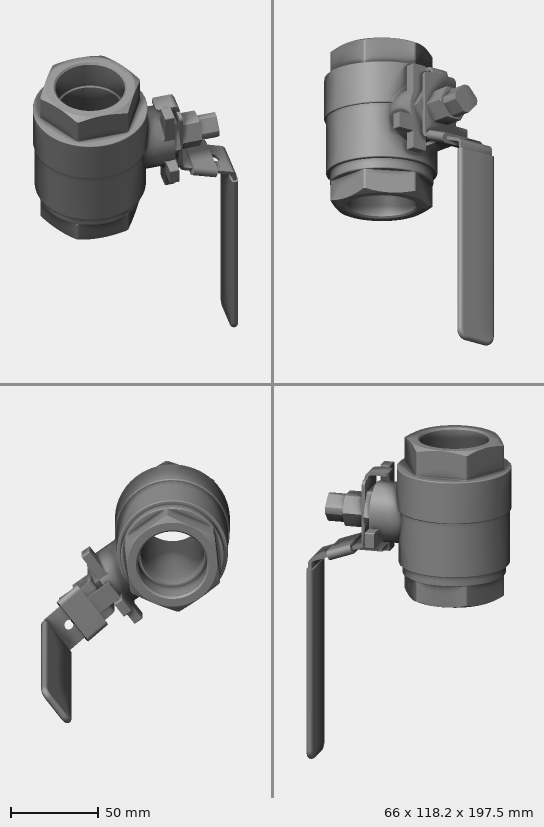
import cadquery as cq
import math


PIPE_TOP = 47.5
PIPE_BOTTOM = -46.5
PIPE_MIDDLE = (PIPE_TOP + PIPE_BOTTOM) / 2
HEX_FLATS = 52.0
HEX_CORNER_RADIUS = 2.0
HEX_CORNER_REACH = HEX_FLATS / math.sqrt(3) - HEX_CORNER_RADIUS * (2 / math.sqrt(3) - 1)
HEX_FACE_DIAMETER = 51.4
HEX_CHAMFER_DROP = 2.0
COLLAR_DIAMETER = 66.0
COLLAR_TOP = 30.8
COLLAR_BOTTOM = 5.8
COLLAR_EDGE_RADIUS = 0.6
BARREL_DIAMETER = 64.0
BARREL_BOTTOM = -26.8
RING_DIAMETER = 2 * HEX_CORNER_REACH
RING_BOTTOM = -32.9
HEX_FOOT_FILLET = 0.5

BORE_DIAMETER = 37.0
SOCKET_DIAMETER = 40.0
SOCKET_DEPTH = 17.0
SOCKET_MOUTH_DIAMETER = 42.0

NECK_DIAMETER = 35.0
NECK_END = 46.0
NECK_FILLET = 2.0
LUG_REACH = 25.6
LUG_NEAR = 5.8
LUG_FAR = 15.3
LUG_THICKNESS = 5.6
LUG_CORNER_RADIUS = 0.8
LUG_ROOT_FILLET = 1.7
GLAND_FLATS = 26.6
STEM_NUT_FLATS = 18.2
STEM_NUT_CHAMFER = 0.5
STEM_NUT_END = 64.0
STEM_END = 75.0
STEM_DIAMETER = 16.4
STEM_FLATS = 14.0

PLATE = 2.0
LEVER_WIDTH = 23.4
LEVER_SEAT = 50.0
LEVER_MID_Y = LEVER_SEAT + PLATE / 2
BEND_RADIUS = 3.0
STOP_TAB_WIDTH = 11.2
STOP_TAB_TIP = 38.0
STOP_TAB_Z = 23.7
STOP_TAB_CORNER_RADIUS = 2.0
SHOULDER_Z = 20.4
SHOULDER_RADIUS = 2.6
SLOPE_ANGLE = 20.0
SLOPE_START_Z = -18.0
HANG_HOLE_DIAMETER = 5.92
HANG_HOLE_Y = 74.0

GRIP_FACE = 85.19
GRIP_THICKNESS = 4.2
GRIP_MID_Y = GRIP_FACE - GRIP_THICKNESS / 2
GRIP_WIDTH = 26.2
GRIP_TOP = -35.0
GRIP_BOTTOM = -150.0
GRIP_CORNER_RADIUS = 6.0
GRIP_WALL = (GRIP_WIDTH - LEVER_WIDTH) / 2

LOCK_WIDTH = 30.0
LOCK_THICKNESS = 5.92
LOCK_LENGTH = 15.0
LOCK_MID_Y = 64.5
LOCK_TAB_Z = -21.6
LOCK_TAB_WIDTH = 11.4
LOCK_TAB_TIP = 41.3
LOCK_TAB_ROOT = 58.0
LOCK_TAB_CORNER_RADIUS = 1.0

PICK_MARGIN = 1.0


def slope_z(y):
    """Height of the lever's sloping middle plane at the given Y."""
    return SLOPE_START_Z - (y - LEVER_MID_Y) * math.tan(math.radians(SLOPE_ANGLE))


def along_stem(start):
    """Sketch plane square to the stem at Y = start, with extrusions going outward."""
    return cq.Workplane(cq.Plane(origin=(0, start, 0), xDir=(1, 0, 0), normal=(0, 1, 0)))


def stem_hex(flats, start, end):
    """Hexagonal prism on the stem axis with two flats square to Z."""
    return along_stem(start).polygon(6, flats * 2 / math.sqrt(3)).extrude(end - start)


def stem_bar(start, end):
    """Round bar with four flats that face diagonally between X and Z."""
    length = end - start
    square = along_stem(start).transformed(rotate=(0, 0, 45)).rect(STEM_FLATS, STEM_FLATS).extrude(length)
    return along_stem(start).circle(STEM_DIAMETER / 2).extrude(length).intersect(square)


def pipe_hex(start, end, outer_face):
    """Hexagonal pipe end with rounded corners and a cone chamfer at its outer face."""
    hexagon = (
        cq.Workplane("XY", origin=(0, 0, start))
        .polygon(6, HEX_FLATS * 2 / math.sqrt(3))
        .extrude(end - start)
        .rotate((0, 0, 0), (0, 0, 1), 30)
        .edges("|Z")
        .fillet(HEX_CORNER_RADIUS)
    )
    inner_face = start if outer_face == end else end
    chamfer_end = outer_face - math.copysign(HEX_CHAMFER_DROP, outer_face)
    envelope = (
        cq.Workplane("XZ")
        .moveTo(0, inner_face)
        .lineTo(HEX_CORNER_REACH, inner_face)
        .lineTo(HEX_CORNER_REACH, chamfer_end)
        .lineTo(HEX_FACE_DIAMETER / 2, outer_face)
        .lineTo(0, outer_face)
        .close()
        .revolve()
    )
    return hexagon.intersect(envelope)


def pipe_disc(diameter, bottom, top):
    """Round disc on the pipe axis."""
    return cq.Workplane("XY", origin=(0, 0, bottom)).circle(diameter / 2).extrude(top - bottom)


def make_pipe():
    """Collar, barrel, ring and the two hexagonal ends, stacked along the pipe axis."""
    collar = pipe_disc(COLLAR_DIAMETER, COLLAR_BOTTOM, COLLAR_TOP).edges().fillet(COLLAR_EDGE_RADIUS)
    barrel = pipe_disc(BARREL_DIAMETER, BARREL_BOTTOM, COLLAR_TOP - COLLAR_EDGE_RADIUS)
    barrel = barrel.faces("<Z").edges().fillet(COLLAR_EDGE_RADIUS)
    ring = pipe_disc(RING_DIAMETER, RING_BOTTOM, COLLAR_BOTTOM)
    ring = ring.faces("<Z").edges().fillet(COLLAR_EDGE_RADIUS)
    pipe = collar.union(barrel).union(ring)
    pipe = pipe.union(pipe_hex(COLLAR_TOP, PIPE_TOP, PIPE_TOP))
    foot = cq.selectors.BoxSelector(
        (-HEX_FLATS, -HEX_FLATS, COLLAR_TOP - HEX_FOOT_FILLET),
        (HEX_FLATS, HEX_FLATS, COLLAR_TOP + HEX_FOOT_FILLET),
    )
    pipe = pipe.edges(foot).edges("not %CIRCLE").fillet(HEX_FOOT_FILLET)
    return pipe.union(pipe_hex(PIPE_BOTTOM, RING_BOTTOM, PIPE_BOTTOM))


def make_neck():
    """Stem neck with the crossing lug bars at its outer end, rounded underneath the bars."""
    neck = along_stem(0).circle(NECK_DIAMETER / 2).extrude(NECK_END)
    lug_width = LUG_FAR - LUG_NEAR
    lug_middle = (LUG_FAR + LUG_NEAR) / 2
    bar = cq.Workplane("XY").box(lug_width, LUG_THICKNESS, 2 * LUG_REACH)
    bar = bar.edges("|Y").fillet(LUG_CORNER_RADIUS)
    bar_y = NECK_END - LUG_THICKNESS / 2
    upright_bar = bar.translate((lug_middle, bar_y, 0))
    cross_bar = bar.rotate((0, 0, 0), (0, 1, 0), 90).translate((0, bar_y, -lug_middle))
    neck = neck.union(upright_bar).union(cross_bar)
    underside = NECK_END - LUG_THICKNESS
    neck_radius = NECK_DIAMETER / 2
    lug_roots = cq.selectors.BoxSelector(
        (-neck_radius, underside - PICK_MARGIN, -neck_radius),
        (neck_radius, underside + PICK_MARGIN, neck_radius),
    )
    return neck.edges(lug_roots).edges("%CIRCLE").fillet(LUG_ROOT_FILLET)


def make_neck_root():
    """Upper part of the collar and neck, with the corner between them rounded."""
    neck = along_stem(0).circle(NECK_DIAMETER / 2).extrude(NECK_END)
    root = pipe_disc(COLLAR_DIAMETER, -COLLAR_TOP, COLLAR_TOP).union(neck)
    corner = cq.selectors.BoxSelector(
        (-NECK_DIAMETER, PICK_MARGIN, -NECK_DIAMETER / 2 - PICK_MARGIN),
        (NECK_DIAMETER, NECK_END - PICK_MARGIN, NECK_DIAMETER / 2 + PICK_MARGIN),
    )
    root = root.edges(corner).edges("not %LINE").fillet(NECK_FILLET)
    kept = pipe_disc(3 * NECK_END, COLLAR_BOTTOM + COLLAR_EDGE_RADIUS, COLLAR_TOP - COLLAR_EDGE_RADIUS)
    return root.intersect(kept)


def make_passage():
    """Bore, threaded sockets and socket mouths, as one tool to cut away."""
    socket_floor = PIPE_TOP - SOCKET_DEPTH
    mouth_depth = (SOCKET_MOUTH_DIAMETER - SOCKET_DIAMETER) / 2
    half = (
        cq.Workplane("XZ")
        .moveTo(0, PIPE_MIDDLE)
        .lineTo(BORE_DIAMETER / 2, PIPE_MIDDLE)
        .lineTo(BORE_DIAMETER / 2, socket_floor)
        .lineTo(SOCKET_DIAMETER / 2, socket_floor)
        .lineTo(SOCKET_DIAMETER / 2, PIPE_TOP - mouth_depth)
        .lineTo(SOCKET_MOUTH_DIAMETER / 2, PIPE_TOP)
        .lineTo(0, PIPE_TOP)
        .close()
        .revolve()
    )
    return half.union(half.mirror("XY", (0, 0, PIPE_MIDDLE)))


def make_stem_nut():
    """Hexagonal nut with turned corners, outside the lever plate."""
    corners = STEM_NUT_FLATS * 2 / math.sqrt(3)
    start = LEVER_SEAT + PLATE
    envelope = along_stem(start).circle(corners / 2).extrude(STEM_NUT_END - start)
    envelope = envelope.edges("%CIRCLE").chamfer(STEM_NUT_CHAMFER)
    return stem_hex(STEM_NUT_FLATS, start, STEM_NUT_END).intersect(envelope)


def make_housing():
    """Pipe, neck, gland nut, stem and stem nut as one solid, with the passage through it."""
    housing = make_pipe().union(make_neck()).union(make_neck_root())
    housing = housing.union(stem_hex(GLAND_FLATS, NECK_END, LEVER_SEAT))
    housing = housing.union(stem_bar(LEVER_SEAT, STEM_END))
    housing = housing.union(make_stem_nut())
    return housing.cut(make_passage())


def unit(start, end):
    """Direction of length one from start to end."""
    length = math.dist(start, end)
    return ((end[0] - start[0]) / length, (end[1] - start[1]) / length)


def bent_strip(path, width):
    """Strip of plate that follows a bent middle line in the YZ plane, centred on X = 0."""
    spine = cq.Workplane("YZ").moveTo(*path[0])
    for before, corner, after in zip(path, path[1:], path[2:]):
        way_in = unit(before, corner)
        way_out = unit(corner, after)
        turn = math.acos(way_in[0] * way_out[0] + way_in[1] * way_out[1])
        setback = BEND_RADIUS * math.tan(turn / 2)
        bend_start = (corner[0] - setback * way_in[0], corner[1] - setback * way_in[1])
        bend_end = (corner[0] + setback * way_out[0], corner[1] + setback * way_out[1])
        spine = spine.lineTo(*bend_start).tangentArcPoint(bend_end, relative=False)
    spine = spine.lineTo(*path[-1])
    section = cq.Workplane("XZ", origin=(0, path[0][0], path[0][1])).rect(width, PLATE)
    return section.sweep(spine)


def make_lever():
    """Bent plate with a narrow stop tab at the top and a long tail inside the grip."""
    tail_end = GRIP_BOTTOM + GRIP_WALL
    path = [
        (STOP_TAB_TIP, STOP_TAB_Z),
        (LEVER_MID_Y, STOP_TAB_Z),
        (LEVER_MID_Y, SLOPE_START_Z),
        (GRIP_MID_Y, slope_z(GRIP_MID_Y)),
        (GRIP_MID_Y, tail_end),
    ]
    lever = bent_strip(path, LEVER_WIDTH)

    blank_height = SHOULDER_Z - tail_end
    blank = cq.Workplane("XY").box(LEVER_WIDTH, GRIP_FACE, blank_height)
    blank = blank.edges("|Y and >Z").fillet(SHOULDER_RADIUS)
    blank = blank.edges("|Y and <Z").fillet(GRIP_CORNER_RADIUS - GRIP_WALL)
    blank = blank.translate((0, GRIP_FACE / 2, tail_end + blank_height / 2))
    tab_top = STOP_TAB_Z + PLATE
    tab = cq.Workplane("XY").box(STOP_TAB_WIDTH, GRIP_FACE, tab_top)
    blank = blank.union(tab.translate((0, GRIP_FACE / 2, tab_top / 2)))
    lever = lever.intersect(blank)
    lever = lever.faces("<Y").edges("|Z").fillet(STOP_TAB_CORNER_RADIUS)

    lever = lever.cut(stem_bar(LEVER_SEAT, STEM_END))
    hang_hole = cq.Workplane("XY").circle(HANG_HOLE_DIAMETER / 2).extrude(2 * PLATE, both=True)
    hang_hole = hang_hole.rotate((0, 0, 0), (1, 0, 0), -SLOPE_ANGLE)
    return lever.cut(hang_hole.translate((0, HANG_HOLE_Y, slope_z(HANG_HOLE_Y))))


def make_grip(lever):
    """Sleeve with a half-round rim that is slipped over the lever's tail."""
    rim_radius = GRIP_THICKNESS / 2
    height = GRIP_TOP - GRIP_BOTTOM - rim_radius
    half_width = GRIP_WIDTH / 2 - rim_radius
    rim_corner = GRIP_CORNER_RADIUS - rim_radius
    core = cq.Workplane("XY").box(2 * half_width, GRIP_THICKNESS, height)
    core = core.edges("|Y and <Z").fillet(rim_corner)
    core = core.translate((0, GRIP_MID_Y, GRIP_TOP - height / 2))
    corner_z = GRIP_TOP - height + rim_corner
    rim_path = (
        cq.Workplane("XZ", origin=(0, GRIP_MID_Y, 0))
        .moveTo(-half_width, GRIP_TOP)
        .lineTo(-half_width, corner_z)
        .tangentArcPoint((rim_corner, -rim_corner))
        .lineTo(half_width - rim_corner, GRIP_TOP - height)
        .tangentArcPoint((rim_corner, rim_corner))
        .lineTo(half_width, GRIP_TOP)
    )
    rim = cq.Workplane("XY", origin=(-half_width, GRIP_MID_Y, GRIP_TOP)).circle(rim_radius).sweep(rim_path)
    return core.union(rim).cut(lever)


def make_lock(lever):
    """Flat sleeve that slides on the lever's slope, with a tab that reaches to the lugs."""
    sleeve = cq.Workplane("XZ").slot2D(LOCK_WIDTH, LOCK_THICKNESS).extrude(LOCK_LENGTH / 2, both=True)
    sleeve = sleeve.rotate((0, 0, 0), (1, 0, 0), -SLOPE_ANGLE)
    sleeve = sleeve.translate((0, LOCK_MID_Y, slope_z(LOCK_MID_Y)))
    tab_length = LOCK_TAB_ROOT - LOCK_TAB_TIP
    tab = cq.Workplane("XY").box(LOCK_TAB_WIDTH, tab_length, PLATE)
    tab = tab.edges("|Z and <Y").fillet(LOCK_TAB_CORNER_RADIUS)
    tab = tab.translate((0, LOCK_TAB_TIP + tab_length / 2, LOCK_TAB_Z))
    return sleeve.union(tab).cut(lever)


housing = make_housing()
lever = make_lever()
grip = make_grip(lever)
lock = make_lock(lever)

bodies = [housing, lever, grip, lock]
result = cq.Compound.makeCompound([solid for body in bodies for solid in body.solids().vals()])